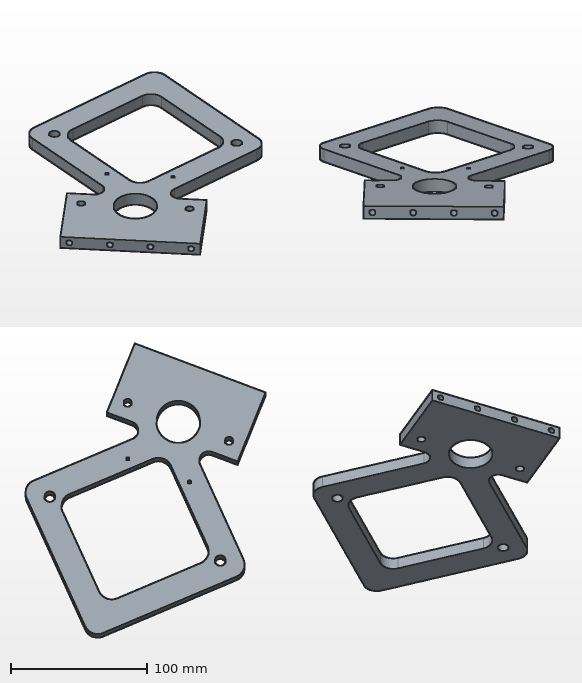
import cadquery as cq
import math

overall = 193.2
thickness = 10.0

frame_side = 127.0
window_side = 87.0
corner_radius = 10.0
mount_hole_diameter = 8.0
mount_hole_offset = 47.5
pin_hole_diameter = 2.5
pin_hole_depth = thickness / 2
pin_hole_along = 47.7
pin_hole_across = 24.3

head_width = 103.1
head_length = 56.5
neck_radius = 7.0
bore_diameter = 32.0
bore_along = 87.5
head_hole_diameter = 6.0
head_hole_across = 40.0

end_hole_diameter = 4.5
end_hole_depth = 20.0
end_hole_pitch = 30.0
end_hole_count = 4

head_corner_x = overall - frame_side / 2
head_end = head_corner_x * math.sqrt(2) - head_width / 2
head_start = head_end - head_length


def diagonal_point(along, across):
    """Convert distances along and across the symmetry diagonal to X and Y."""
    return ((along + across) / math.sqrt(2), (across - along) / math.sqrt(2))


def rounded_square(side):
    plate = cq.Workplane("XY").rect(side, side).extrude(thickness)
    return plate.edges("|Z").fillet(corner_radius)


def round_holes(points, diameter):
    return cq.Workplane("XY").pushPoints(points).circle(diameter / 2).extrude(thickness)


def make_body():
    """Join frame and head, and round the two sharp inner corners between them."""
    half_width = head_width / 2
    head_corners = [
        diagonal_point(head_start, -half_width),
        diagonal_point(head_end, -half_width),
        diagonal_point(head_end, half_width),
        diagonal_point(head_start, half_width),
    ]
    head = cq.Workplane("XY").polyline(head_corners).close().extrude(thickness)
    body = rounded_square(frame_side).union(head)

    near = frame_side / 2
    far = head_start * math.sqrt(2) - near
    for x, y in ((near, -far), (far, -near)):
        corner = cq.selectors.NearestToPointSelector((x, y, thickness / 2))
        body = body.edges("|Z").edges(corner).fillet(neck_radius)
    return body


def make_pin_holes():
    points = [diagonal_point(pin_hole_along, side * pin_hole_across) for side in (-1, 1)]
    return round_holes(points, pin_hole_diameter).translate((0, 0, thickness - pin_hole_depth))


def make_end_holes():
    center_x, center_y = diagonal_point(head_end, 0)
    end_face = cq.Plane(
        origin=(center_x, center_y, thickness / 2),
        xDir=(1, 1, 0),
        normal=(1, -1, 0),
    )
    row = cq.Workplane(end_face).rarray(end_hole_pitch, 2, end_hole_count, 1)
    return row.circle(end_hole_diameter / 2).extrude(-end_hole_depth)


mount_points = [(side * mount_hole_offset, side * mount_hole_offset) for side in (-1, 1)]
head_points = [diagonal_point(bore_along, side * head_hole_across) for side in (-1, 1)]

result = (
    make_body()
    .cut(rounded_square(window_side))
    .cut(round_holes(mount_points, mount_hole_diameter))
    .cut(round_holes([diagonal_point(bore_along, 0)], bore_diameter))
    .cut(round_holes(head_points, head_hole_diameter))
    .cut(make_pin_holes())
    .cut(make_end_holes())
)